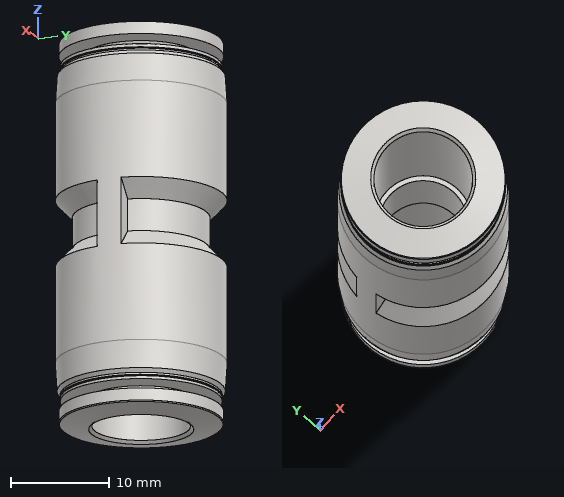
import cadquery as cq

length = 41.4
half_length = length / 2
body_radius = 17.5 / 2
shoulder_radius = 17.15 / 2
lip_radius = 16.5 / 2

crown_depth = 0.5
flange_edge_depth = 0.62
flange_bottom_depth = 1.9
lip_depth = 2.95
lip_groove_depth = 3.25
shoulder_start_depth = 3.6
shoulder_depth = 4.0
taper_end_depth = 6.95

flange_radius = 16.8 / 2
flange_edge_step = 0.1
neck_radius = 11.4 / 2
neck_flare_width = 0.15
neck_flare_height = 0.35
lip_groove_width = 0.12
lip_groove_cut = 0.12

through_radius = 9.0 / 2
socket_radius = 10.0 / 2
mouth_radius = 10.7 / 2
mouth_chamfer = mouth_radius - socket_radius
socket_depth = 16.55

waist_radius = 14.05 / 2
waist_half_height = 1.7
waist_outer_half_height = 3.5
rib_width = 2.65


def revolve_profile(profile):
    """Turn a closed radius-height profile about the Z axis."""
    return profile.close().revolve(360, (0, 0, 0), (0, 1, 0))


def make_upper_end():
    """Solid upper end: tapered shoulder, grooved lip, neck and crowned flange."""
    groove_radius = lip_radius - lip_groove_cut
    groove_top = half_length - lip_groove_depth
    groove_bottom = groove_top - lip_groove_width
    flange_bottom = half_length - flange_bottom_depth
    profile = (
        cq.Workplane("XZ")
        .moveTo(0, half_length - taper_end_depth)
        .lineTo(body_radius, half_length - taper_end_depth)
        .lineTo(shoulder_radius, half_length - shoulder_depth)
        .lineTo(lip_radius, half_length - shoulder_start_depth)
        .lineTo(lip_radius, groove_bottom)
        .lineTo(groove_radius, groove_bottom)
        .lineTo(groove_radius, groove_top)
        .lineTo(lip_radius, groove_top)
        .lineTo(lip_radius, half_length - lip_depth)
        .lineTo(neck_radius, half_length - lip_depth)
        .lineTo(neck_radius, flange_bottom - neck_flare_height)
        .lineTo(neck_radius + neck_flare_width, flange_bottom)
        .lineTo(flange_radius, flange_bottom)
        .lineTo(flange_radius, half_length - flange_edge_depth)
        .lineTo(flange_radius - flange_edge_step, half_length - crown_depth)
        .lineTo(mouth_radius, half_length)
        .lineTo(0, half_length)
    )
    return revolve_profile(profile)


def make_upper_socket():
    """Tube socket in the upper end, with a chamfered mouth."""
    socket_floor = half_length - socket_depth
    profile = (
        cq.Workplane("XZ")
        .moveTo(0, socket_floor)
        .lineTo(socket_radius, socket_floor)
        .lineTo(socket_radius, half_length - mouth_chamfer)
        .lineTo(mouth_radius, half_length)
        .lineTo(0, half_length)
    )
    return revolve_profile(profile)


def make_waist_cut():
    """Ring with sloping sides, leaving a straight rib on the -X and +X sides."""
    profile = (
        cq.Workplane("XZ")
        .moveTo(waist_radius, -waist_half_height)
        .lineTo(body_radius, -waist_outer_half_height)
        .lineTo(body_radius, waist_outer_half_height)
        .lineTo(waist_radius, waist_half_height)
    )
    ribs = cq.Workplane("XY").box(2 * body_radius, rib_width, 2 * waist_outer_half_height)
    return revolve_profile(profile).cut(ribs)


body_length = length - 2 * taper_end_depth
body = cq.Workplane("XY").cylinder(body_length, body_radius)
through_hole = cq.Workplane("XY").cylinder(length, through_radius)
upper_end = make_upper_end()
upper_socket = make_upper_socket()

result = (
    body.union(upper_end)
    .union(upper_end.mirror("XY"))
    .cut(make_waist_cut())
    .cut(through_hole)
    .cut(upper_socket)
    .cut(upper_socket.mirror("XY"))
)